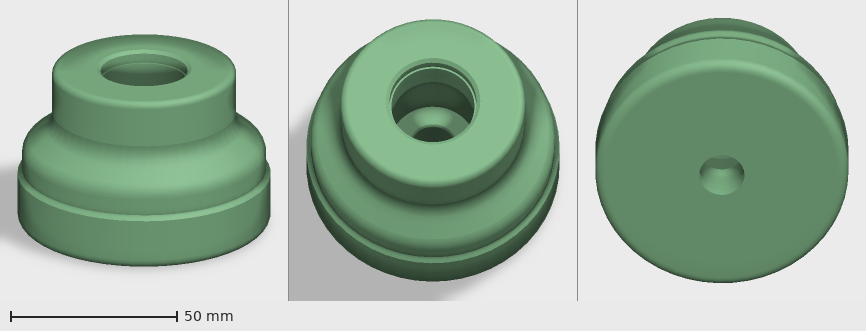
import cadquery as cq
import math

foot_radius = 38.1
foot_height = 16.8
foot_fillet = 3.0
hole_radius = 6.8
hole_chamfer = 0.5

knob_top = 49.8
skirt_radius = 36.7
skirt_bottom = 17.15
skirt_top = 22.4
cone_bottom_radius = 35.0
cone_bottom = 26.4
cone_top_radius = 29.4
cone_top = 30.8
neck_radius = 27.7
neck_bottom = 35.9
neck_fillet = 2.0
throat_arc_radius = 5.0

bore_radius = 13.1
mouth_radius = 14.25
mouth_depth = 0.85
land_radius = 12.5
land_top = 46.1
land_bottom = 36.1
land_taper_height = 1.3

chamfer_bottom = skirt_bottom - (foot_radius - skirt_radius)
joint_radius = skirt_radius + skirt_bottom - foot_height


def fillet_inset(size):
    """Distance of a fillet's midpoint from each of the two sides it joins."""
    return size * (1 - math.sqrt(0.5))


def revolve_about_z(profile):
    """Turn a closed (radius, height) profile around the Z axis."""
    return profile.close().revolve(360, (0, 0, 0), (0, 1, 0))


def make_foot():
    """Disc with a rounded lower edge and a chamfer at the joint."""
    inset = fillet_inset(foot_fillet)
    profile = (
        cq.Workplane("XZ")
        .moveTo(hole_radius, 0)
        .lineTo(foot_radius - foot_fillet, 0)
        .threePointArc((foot_radius - inset, inset), (foot_radius, foot_fillet))
        .lineTo(foot_radius, chamfer_bottom)
        .lineTo(joint_radius, foot_height)
        .lineTo(hole_radius + hole_chamfer, foot_height)
        .lineTo(hole_radius, foot_height - hole_chamfer)
    )
    return revolve_about_z(profile)


def make_knob():
    """Hollow knob standing on the foot, with its bore open at both ends."""
    inset = fillet_inset(neck_fillet)
    profile = (
        cq.Workplane("XZ")
        .moveTo(bore_radius, foot_height)
        .lineTo(joint_radius, foot_height)
        .lineTo(skirt_radius, skirt_bottom)
        .lineTo(skirt_radius, skirt_top)
        .tangentArcPoint((cone_bottom_radius, cone_bottom), relative=False)
        .lineTo(cone_top_radius, cone_top)
        .radiusArc((neck_radius, neck_bottom), throat_arc_radius)
        .lineTo(neck_radius, knob_top - neck_fillet)
        .threePointArc(
            (neck_radius - inset, knob_top - inset),
            (neck_radius - neck_fillet, knob_top),
        )
        .lineTo(mouth_radius, knob_top)
        .lineTo(bore_radius, knob_top - mouth_depth)
        .lineTo(bore_radius, land_top)
        .lineTo(land_radius, land_top)
        .lineTo(land_radius, land_bottom)
        .lineTo(bore_radius, land_bottom - land_taper_height)
    )
    return revolve_about_z(profile)


foot = make_foot()
knob = make_knob()
result = cq.Compound.makeCompound([foot.val(), knob.val()])